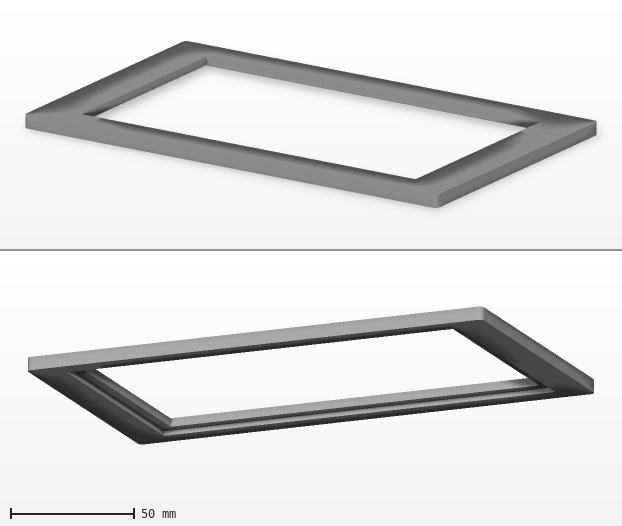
import cadquery as cq

length = 200.0
width = 120.0
thickness = 5.5
corner_radius = 2.0

window_length = 161.5
window_width = 92.8

lip_thickness = 3.5
lip_overhang = 5.0
recess_depth = thickness - lip_thickness
recess_length = window_length + 2 * lip_overhang
recess_width = window_width + 2 * lip_overhang


def centred_block(size_x, size_y, height):
    """Block centred on the Z axis, standing on the underside plane Z = 0."""
    return cq.Workplane("XY").box(size_x, size_y, height, centered=(True, True, False))


plate = centred_block(length, width, thickness).edges("|Z").fillet(corner_radius)
window = centred_block(window_length, window_width, thickness)
recess = centred_block(recess_length, recess_width, recess_depth)

result = plate.cut(window).cut(recess)